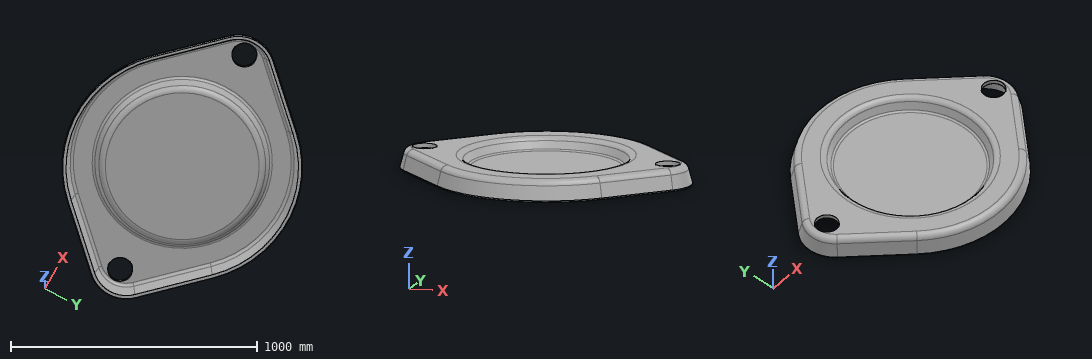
import cadquery as cq
import math

LENGTH = 1240.0
WIDTH = 978.0
HEIGHT = 90.0
TIP_RADIUS = 151.0
LIP_HEIGHT = 7.0
LIP_INSET = 4.0
DRAFT_ANGLE = 15.0
EDGE_RADIUS = 32.0

WALL = 19.0

DISH_DEPTH = 53.0
DISH_RADIUS = 347.0
DISH_WALL_ANGLE = 28.0
RIM_RADIUS = 31.0
FLOOR_FILLET = 11.0

HOLE_DIAMETER = 100.0
HOLE_SPACING = 1041.0


def plate_outline(z, inset):
    """Large central circle joined to two end circles by tangent lines."""
    main_radius = WIDTH / 2 - inset
    tip_radius = TIP_RADIUS - inset
    tip_center = LENGTH / 2 - TIP_RADIUS
    angle = math.acos((main_radius - tip_radius) / tip_center)
    cosine = math.cos(angle)
    sine = math.sin(angle)
    main_x, main_y = main_radius * cosine, main_radius * sine
    tip_x, tip_y = tip_center + tip_radius * cosine, tip_radius * sine
    return (
        cq.Workplane("XY", origin=(0, 0, z))
        .moveTo(-main_x, main_y)
        .threePointArc((0, main_radius), (main_x, main_y))
        .lineTo(tip_x, tip_y)
        .threePointArc((tip_center + tip_radius, 0), (tip_x, -tip_y))
        .lineTo(main_x, -main_y)
        .threePointArc((0, -main_radius), (-main_x, -main_y))
        .lineTo(-tip_x, -tip_y)
        .threePointArc((-tip_center - tip_radius, 0), (-tip_x, tip_y))
        .close()
    )


def make_body(bottom_z, top_z, inset, edge_radius):
    """Drafted solid with a rounded top edge."""
    body = plate_outline(bottom_z, inset).extrude(top_z - bottom_z, taper=DRAFT_ANGLE)
    return body.faces(">Z").edges().fillet(edge_radius)


def make_foot():
    """Bevelled foot that narrows toward the ground."""
    taper = math.degrees(math.atan(LIP_INSET / LIP_HEIGHT))
    return plate_outline(0, LIP_INSET).extrude(LIP_HEIGHT, taper=-taper)


def arc_point(center, radius, angle):
    """Point on an arc, with the angle measured from the +X direction."""
    return (center[0] + radius * math.cos(angle), center[1] + radius * math.sin(angle))


def make_dish(offset):
    """Solid filling the dish, its surface pushed below the top skin by offset."""
    wall_angle = math.radians(DISH_WALL_ANGLE)
    sweep = math.pi / 2 - wall_angle
    floor_z = HEIGHT - DISH_DEPTH
    corner_radius = DISH_RADIUS - DISH_DEPTH * math.tan(wall_angle)
    rim_center = (DISH_RADIUS + RIM_RADIUS * math.tan(sweep / 2), HEIGHT - RIM_RADIUS)
    floor_center = (corner_radius - FLOOR_FILLET * math.tan(sweep / 2), floor_z + FLOOR_FILLET)
    rim_radius = RIM_RADIUS - offset
    floor_fillet = FLOOR_FILLET + offset
    up = math.pi / 2
    return (
        cq.Workplane("XZ")
        .moveTo(0, floor_z - offset)
        .lineTo(floor_center[0], floor_z - offset)
        .threePointArc(
            arc_point(floor_center, floor_fillet, sweep / 2 - up),
            arc_point(floor_center, floor_fillet, sweep - up),
        )
        .lineTo(*arc_point(rim_center, rim_radius, up + sweep))
        .threePointArc(
            arc_point(rim_center, rim_radius, up + sweep / 2),
            arc_point(rim_center, rim_radius, up),
        )
        .lineTo(0, HEIGHT - offset)
        .close()
        .revolve(360, (0, 0, 0), (0, 1, 0))
    )


def make_cavity():
    """Hollow underside, one sheet thickness inside the skin and the dish."""
    draft = math.radians(DRAFT_ANGLE)
    inset = WALL / math.cos(draft) - LIP_HEIGHT * math.tan(draft)
    inner_body = make_body(0, HEIGHT - WALL, inset, EDGE_RADIUS - WALL)
    return inner_body.cut(make_dish(WALL))


def cut_holes(part):
    """One through hole near each rounded end."""
    drills = (
        cq.Workplane("XY")
        .pushPoints([(-HOLE_SPACING / 2, 0), (HOLE_SPACING / 2, 0)])
        .circle(HOLE_DIAMETER / 2)
        .extrude(HEIGHT)
    )
    return part.cut(drills)


plate = make_body(LIP_HEIGHT, HEIGHT, 0, EDGE_RADIUS).union(make_foot())
shell = plate.cut(make_dish(0)).cut(make_cavity())
result = cut_holes(shell)